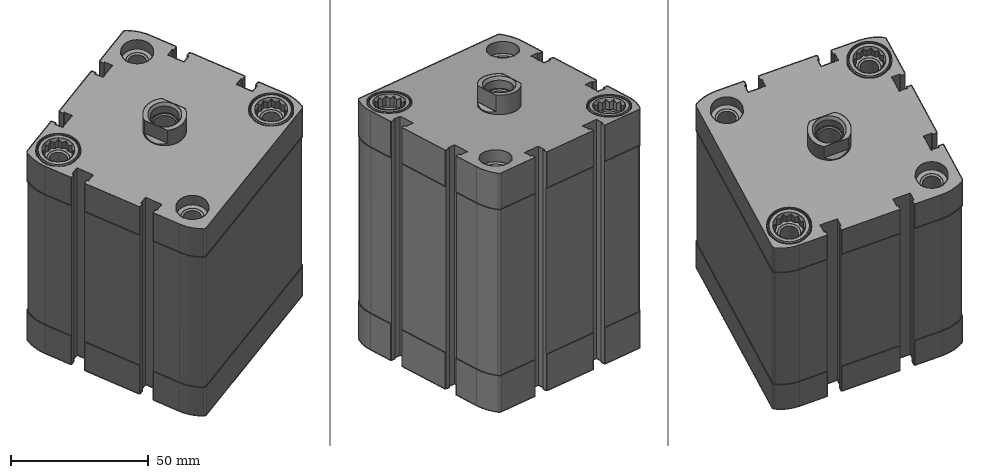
import cadquery as cq
import math

total_height = 107.9
rod_projection = 8.1
housing_height = total_height - rod_projection
side = 75.5
cap_height = 15.2
cap_bottoms = (0, housing_height - cap_height)
barrel_inset = 0.27

corner_offset = 28.3
corner_arc_radius = 17.6
corner_edge_fillet = 1.3

slot_offset = 14.5
slot_mouth_width = 5.5
slot_inner_width = 6.8
slot_depth = 5.2
slot_lip_depth = 1.9
slot_edge_chamfer = 0.2

through_diameter = 6.7
hole_mouth_diameter = 8.4
hole_mouth_depth = 0.3
counterbore_diameter = 12.0
counterbore_depth = 5.0

collar_groove_diameter = 16.4
collar_diameter = 15.5
collar_groove_depth = 0.9
collar_chamfer = 0.4
socket_depth = 4.6
socket_mouth_diameter = 12.0
socket_across_flats = 9.8
socket_lead_in_depth = 1.8
hexagon_turn = 30.0

rod_diameter = 16.0
rod_length = rod_projection + cap_height
rod_across_flats = 12.6
rod_flat_length = 6.8
flat_runout_angle = 30.0
bore_mouth_diameter = 12.3
bore_diameter = 10.5
bore_lead_in_depth = 1.2
bore_depth = 4.6
thread_mouth_diameter = 9.5
thread_diameter = 8.4
thread_depth = 17.3
drill_point_angle = 118.0


def outline_block(inset, bottom, height):
    """Square block whose +Y and -Y corners are swept by large arcs."""
    half = side / 2 - inset
    radius = corner_arc_radius - inset
    arc_center = side / 2 - corner_arc_radius
    reach = half - corner_offset
    corner_y = arc_center + math.sqrt(radius**2 - reach**2)
    mid_y = arc_center + math.sqrt(radius**2 - (reach / 2)**2)
    mid_x = corner_offset + reach / 2
    block = (
        cq.Workplane("XY", origin=(0, 0, bottom))
        .moveTo(-corner_offset, half)
        .lineTo(corner_offset, half)
        .threePointArc((mid_x, mid_y), (half, corner_y))
        .lineTo(half, -corner_y)
        .threePointArc((mid_x, -mid_y), (corner_offset, -half))
        .lineTo(-corner_offset, -half)
        .threePointArc((-mid_x, -mid_y), (-half, -corner_y))
        .lineTo(-half, corner_y)
        .threePointArc((-mid_x, mid_y), (-corner_offset, half))
        .close()
        .extrude(height)
    )
    sharp_edges = block.edges("|Z").edges("<X or >X")
    return block.newObject(sharp_edges.vals()).fillet(corner_edge_fillet)


def slot_cutter(offset):
    """T-slot in the +Y face at X = offset, with chamfered mouth edges in both end caps."""
    mouth_half = slot_mouth_width / 2
    inner_half = slot_inner_width / 2
    face_y = side / 2
    floor_y = face_y - slot_depth
    lip_y = face_y - slot_lip_depth
    slot = (
        cq.Workplane("XY")
        .polyline([
            (-mouth_half, face_y),
            (-mouth_half, lip_y),
            (-inner_half, lip_y),
            (-inner_half, floor_y),
            (inner_half, floor_y),
            (inner_half, lip_y),
            (mouth_half, lip_y),
            (mouth_half, face_y),
        ])
        .close()
        .extrude(housing_height)
    )
    chamfer_half = mouth_half + slot_edge_chamfer
    chamfer_y = face_y - slot_edge_chamfer
    for cap_bottom in cap_bottoms:
        chamfered_edges = (
            cq.Workplane("XY", origin=(0, 0, cap_bottom))
            .polyline([
                (-chamfer_half, face_y),
                (-mouth_half, chamfer_y),
                (mouth_half, chamfer_y),
                (chamfer_half, face_y),
            ])
            .close()
            .extrude(cap_height)
        )
        slot = slot.union(chamfered_edges)
    return slot.translate((offset, 0, 0))


def revolved(profile):
    """Solid of revolution about Z from (radius, height) points that start and end on the axis."""
    return cq.Workplane("XZ").polyline(profile).close().revolve(360, (0, 0), (0, 1))



def screw_hole_cutter(floor_depth):
    """Through hole whose conical mouth starts at the floor of a counterbore or socket."""
    mouth_radius = hole_mouth_diameter / 2
    through_radius = through_diameter / 2
    return revolved([
        (0, -floor_depth),
        (mouth_radius, -floor_depth),
        (through_radius, -floor_depth - hole_mouth_depth),
        (through_radius, -housing_height),
        (0, -housing_height),
    ])


def counterbore_cutter():
    """Plain counterbore."""
    return cq.Workplane("XY").circle(counterbore_diameter / 2).extrude(-counterbore_depth)


def socket_cutter():
    """Twelve-point socket made of two hexagons, with a conical lead-in."""
    corner_diameter = socket_across_flats / math.cos(math.pi / 6)
    hexagon = cq.Workplane("XY").polygon(6, corner_diameter).extrude(-socket_depth)
    socket = hexagon.union(hexagon.rotate((0, 0, 0), (0, 0, 1), hexagon_turn))
    lead_in = revolved([
        (0, 0),
        (socket_mouth_diameter / 2, 0),
        (socket_across_flats / 2, -socket_lead_in_depth),
        (0, -socket_lead_in_depth),
    ])
    return socket.union(lead_in)


def collar_groove_cutter():
    """Ring groove around a socket collar and the chamfer on the collar edge."""
    groove_radius = collar_groove_diameter / 2
    collar_radius = collar_diameter / 2
    return (
        cq.Workplane("XZ")
        .polyline([
            (collar_radius - collar_chamfer, 0),
            (groove_radius, 0),
            (groove_radius, -collar_groove_depth),
            (collar_radius, -collar_groove_depth),
            (collar_radius, -collar_chamfer),
        ])
        .close()
        .revolve(360, (0, 0), (0, 1))
    )


def make_rod():
    """Piston rod with two wrench flats and a stepped threaded bore in its end."""
    rod = cq.Workplane("XY").circle(rod_diameter / 2).extrude(rod_length)

    flat_y = rod_across_flats / 2
    flat_z = rod_length - rod_flat_length
    outside_y = rod_diameter
    runout_drop = (outside_y - flat_y) * math.tan(math.radians(flat_runout_angle))
    flat = (
        cq.Workplane("YZ")
        .polyline([
            (flat_y, rod_length),
            (flat_y, flat_z),
            (outside_y, flat_z - runout_drop),
            (outside_y, rod_length),
        ])
        .close()
        .extrude(rod_diameter / 2, both=True)
    )
    rod = rod.cut(flat).cut(flat.mirror("XZ"))

    bore_radius = bore_diameter / 2
    thread_radius = thread_diameter / 2
    thread_mouth_radius = thread_mouth_diameter / 2
    thread_top_depth = bore_depth + thread_mouth_radius - thread_radius
    point_depth = thread_depth + thread_radius / math.tan(math.radians(drill_point_angle / 2))
    bore = revolved([
        (0, rod_length),
        (bore_mouth_diameter / 2, rod_length),
        (bore_radius, rod_length - bore_lead_in_depth),
        (bore_radius, rod_length - bore_depth),
        (thread_mouth_radius, rod_length - bore_depth),
        (thread_radius, rod_length - thread_top_depth),
        (thread_radius, rod_length - thread_depth),
        (0, rod_length - point_depth),
    ])
    return rod.cut(bore).translate((0, 0, total_height - rod_length))


def make_housing():
    """Barrel between two end caps, with slots, corner holes and the rod recess."""
    barrel_height = housing_height - 2 * cap_height
    housing = outline_block(barrel_inset, cap_height, barrel_height)
    for cap_bottom in cap_bottoms:
        housing = housing.union(outline_block(0, cap_bottom, cap_height))

    for face_angle in (0, 90, 180):
        for offset in (-slot_offset, slot_offset):
            cutter = slot_cutter(offset).rotate((0, 0, 0), (0, 0, 1), face_angle)
            housing = housing.cut(cutter)

    for x_sign in (-1, 1):
        for y_sign in (-1, 1):
            if x_sign == y_sign:
                cutters = [socket_cutter(), collar_groove_cutter(), screw_hole_cutter(socket_depth)]
            else:
                cutters = [counterbore_cutter(), screw_hole_cutter(counterbore_depth)]
            place = (x_sign * corner_offset, y_sign * corner_offset, housing_height)
            for cutter in cutters:
                housing = housing.cut(cutter.translate(place))

    recess_floor = cq.Workplane("XY", origin=(0, 0, total_height - rod_length))
    return housing.cut(recess_floor.circle(rod_diameter / 2).extrude(rod_length))


housing = make_housing()
rod = make_rod()

result = cq.Compound.makeCompound([housing.solids().val(), rod.solids().val()])